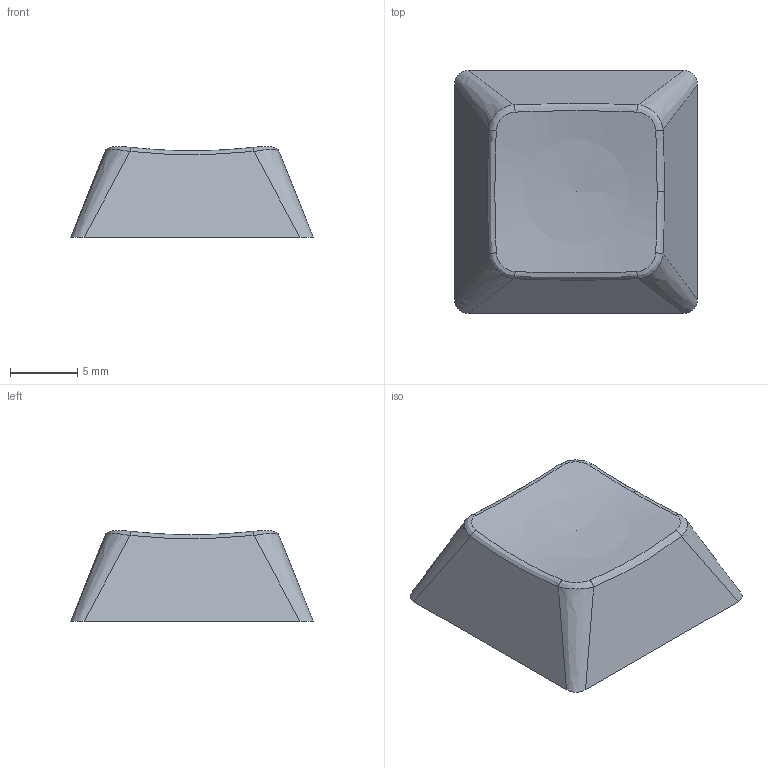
import cadquery as cq


base_width = 18.0
side_slope = 0.4
base_corner_radius = 1.0
top_corner_radius = 2.0
blank_height = 7.5

dish_radius = 40.0
dish_bottom_height = 5.98

rim_fillet = 0.5


def rounded_square(width, corner_radius):
    """Sketch of a centred square with rounded corners."""
    return cq.Sketch().rect(width, width).vertices().fillet(corner_radius)


def tapered_body():
    """Square frustum whose corner radius grows towards the top."""
    top_width = base_width - 2 * side_slope * blank_height
    base = rounded_square(base_width, base_corner_radius)
    top = rounded_square(top_width, top_corner_radius)
    top = top.moved(cq.Location(cq.Vector(0, 0, blank_height)))
    return cq.Workplane("XY").placeSketch(base, top).loft(ruled=True)


def dish_sphere():
    """Sphere whose lowest point is the bottom of the dish."""
    center_height = dish_bottom_height + dish_radius
    return cq.Workplane("XY", origin=(0, 0, center_height)).sphere(dish_radius)


keycap = tapered_body().cut(dish_sphere())
result = keycap.faces(">Z").edges().fillet(rim_fillet)